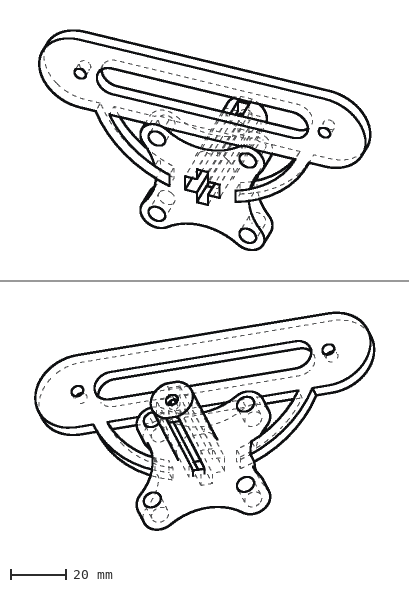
import cadquery as cq
import math


plate_length = 127.0
plate_height = 31.8
plate_thickness = 5.0
plate_center_z = 39.4
slot_length = 82.0
slot_height = 12.0
plate_hole_spacing = 95.0
small_hole_diameter = 4.5

arm_outer_radius = 44.5
arm_width = 5.0
arm_end_x = 12.8

flange_thickness = 10.0
bolt_offset = 17.7
bolt_hole_diameter = 6.5
lobe_radius = 6.5
flange_waist = 18.0
edge_fillet = 2.0

overall_depth = 45.0
post_diameter = 16.0
cap_thickness = 3.0
root_fillet = 2.0

cross_arm_width = 4.3
cross_height = 15.4
cross_bar_length = 13.5
cross_bar_height = 6.2

waist_gap = flange_waist - bolt_offset
side_radius = (bolt_offset**2 + waist_gap**2 - lobe_radius**2) / (2 * (lobe_radius - waist_gap))
side_center = flange_waist + side_radius


def front_sketch(y=0.0):
    """Workplane at depth y, with local axes X and Z, whose extrusions go toward +Y for negative lengths."""
    return cq.Workplane("XZ", origin=(0, y, 0))


def block(length_x, start_y, end_y, height_z):
    """Box centred on the hub axis between two depths."""
    return front_sketch(start_y).rect(length_x, height_z).extrude(start_y - end_y)


def flange_outline():
    """Four round lobes joined by tangent concave arcs."""
    share = side_radius / (side_radius + lobe_radius)
    tangent_near = bolt_offset * share
    tangent_far = side_center + (bolt_offset - side_center) * share
    lobe_tip = bolt_offset + lobe_radius * math.sqrt(0.5)
    outline = front_sketch().moveTo(-tangent_near, tangent_far)
    for quarter in range(4):
        turn = math.radians(-90 * quarter)

        def turned(x, z):
            return (
                x * math.cos(turn) - z * math.sin(turn),
                x * math.sin(turn) + z * math.cos(turn),
            )

        outline = outline.threePointArc(turned(0, flange_waist), turned(tangent_near, tangent_far))
        outline = outline.threePointArc(turned(lobe_tip, lobe_tip), turned(tangent_far, tangent_near))
    return outline.close()


def make_flange():
    return flange_outline().extrude(-flange_thickness).faces(">Y").edges().fillet(edge_fillet)


def make_arms():
    """Two arms cut from a ring: below the plate centre and outside the inner end faces."""
    ring = (
        front_sketch()
        .center(0, plate_center_z)
        .circle(arm_outer_radius)
        .circle(arm_outer_radius - arm_width)
        .extrude(-plate_thickness)
    )
    above = block(plate_length, 0, plate_thickness, plate_length).translate(
        (0, 0, plate_center_z + plate_length / 2)
    )
    between = block(2 * arm_end_x, 0, plate_thickness, 2 * plate_length)
    return ring.cut(above).cut(between)


def make_bracket(arms):
    plate = front_sketch().center(0, plate_center_z).slot2D(plate_length, plate_height).extrude(-plate_thickness)
    slot = front_sketch().center(0, plate_center_z).slot2D(slot_length, slot_height).extrude(-plate_thickness)
    holes = (
        front_sketch()
        .center(0, plate_center_z)
        .rarray(plate_hole_spacing, 1.3, 2, 1)
        .circle(small_hole_diameter / 2)
        .extrude(-plate_thickness)
    )
    lobe_notches = make_flange()
    return plate.cut(lobe_notches).union(arms).cut(slot).cut(holes)


def make_post():
    """Round post with a flat along its top and bottom, as wide as the upright socket arm."""
    post = front_sketch(flange_thickness).circle(post_diameter / 2).extrude(flange_thickness - overall_depth)
    side_flat = block(cross_arm_width, flange_thickness, overall_depth, post_diameter)
    core = block(cross_arm_width, flange_thickness, overall_depth, cross_height)
    return post.cut(side_flat.cut(core))


def make_root_fillet():
    """Concave ring around the foot of the post, interrupted at the two flats."""
    post_radius = post_diameter / 2
    bend = root_fillet * (1 - math.sqrt(0.5))
    ring = (
        cq.Workplane("XY")
        .moveTo(post_radius, flange_thickness)
        .lineTo(post_radius + root_fillet, flange_thickness)
        .threePointArc(
            (post_radius + bend, flange_thickness + bend),
            (post_radius, flange_thickness + root_fillet),
        )
        .close()
        .revolve(360, (0, 0, 0), (0, 1, 0))
    )
    gap = block(cross_arm_width, flange_thickness, overall_depth, 2 * post_diameter)
    return ring.cut(gap)


def make_hub(arms):
    socket_end = overall_depth - cap_thickness
    upright = block(cross_arm_width, 0, socket_end, cross_height)
    crossbar = block(cross_bar_length, 0, socket_end, cross_bar_height)
    cap_hole = front_sketch().circle(small_hole_diameter / 2).extrude(-overall_depth)
    bolt_holes = (
        front_sketch()
        .rarray(2 * bolt_offset, 2 * bolt_offset, 2, 2)
        .circle(bolt_hole_diameter / 2)
        .extrude(-flange_thickness)
    )
    body = make_flange().union(make_post()).union(make_root_fillet())
    return body.cut(upright.union(crossbar)).cut(cap_hole).cut(bolt_holes).cut(arms)


arms = make_arms()
bracket = make_bracket(arms)
hub = make_hub(arms)

result = cq.Compound.makeCompound([bracket.val(), hub.val()])